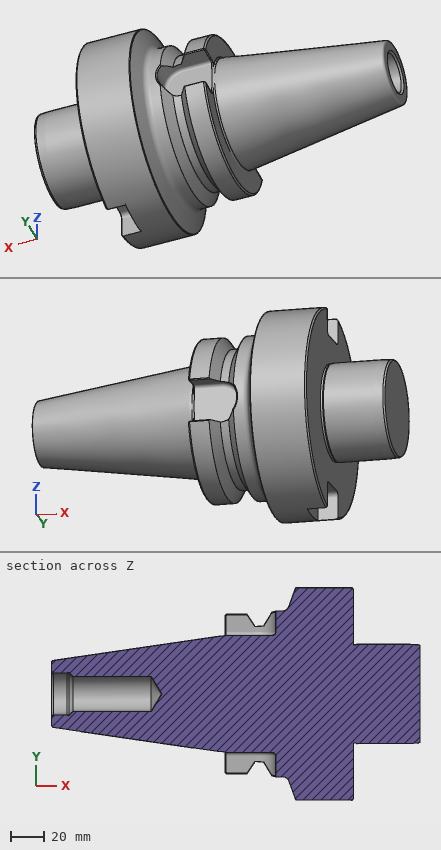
import cadquery as cq
import math


GAUGE_DIA = 69.85
TAPER_LENGTH = 101.8
TAPER_RATE = 7 / 24
TAPER_END_ROUND = 1.5
NECK_FILLET = 1.0

FLANGE_DIA = 100.0
FLANGE_FACE_X = 2.5
FLANGE_EDGE_CHAMFER = 1.0
GROOVE_CENTER_X = 23.3
GROOVE_FLOOR_DIA = 85.3
GROOVE_TOP_WIDTH = 15.4
GROOVE_FLOOR_WIDTH = 5.3

HEAD_DIA = 128.0
HEAD_FACE_X = 80.0
HEAD_BACK_X = 40.0
HEAD_BACK_ANGLE = 20.0
HEAD_BACK_FILLET = 4.0
HEAD_EDGE_CHAMFER = 1.0
HEAD_BACK_EDGE_WIDTH = 0.5

SPIGOT_DIA = 60.0
SPIGOT_LENGTH = 40.0
SPIGOT_RELIEF_DIA = 59.3
SPIGOT_RELIEF_WIDTH = 2.0
SPIGOT_RELIEF_RAMP = 0.7
SPIGOT_LEAD_DIA = 59.5
SPIGOT_LEAD_START = 7.0
SPIGOT_LEAD_END = 2.6
SPIGOT_END_CHAMFER_LENGTH = 1.2
SPIGOT_END_CHAMFER = 0.6

BORE_DIA = 25.0
BORE_MOUTH_DIA = 27.5
BORE_DEPTH = 10.7
UNDERCUT_DIA = 25.45
UNDERCUT_WIDTH = 1.2
THREAD_DIA = 21.0
THREAD_DEPTH = 60.0
BORE_CONE_ANGLE = 45.0
DRILL_POINT_ANGLE = 118.0

DRIVE_SLOT_WIDTH = 25.45
DRIVE_SLOT_FLOOR = 35.3
DRIVE_SLOT_END_X = 33.1
DRIVE_SLOT_FILLET = 2.0
DRIVE_SLOT_CHAMFER = 0.7

KEYWAY_WIDTH = 25.45
KEYWAY_DEPTH_X = 12.5
KEYWAY_FLOOR = 46.0
KEYWAY_FILLET = 3.0

TOLERANCE = 0.01
CUT_MARGIN = 10.0


def make_body():
    """Revolve the outer profile."""
    gauge_r = GAUGE_DIA / 2
    small_end_x = -TAPER_LENGTH
    small_end_r = gauge_r - TAPER_LENGTH * TAPER_RATE / 2
    flange_r = FLANGE_DIA / 2
    groove_r = GROOVE_FLOOR_DIA / 2
    head_r = HEAD_DIA / 2
    spigot_r = SPIGOT_DIA / 2
    relief_r = SPIGOT_RELIEF_DIA / 2
    lead_r = SPIGOT_LEAD_DIA / 2
    spigot_end_x = HEAD_FACE_X + SPIGOT_LENGTH
    relief_end_x = HEAD_FACE_X + SPIGOT_RELIEF_WIDTH

    back_slope = math.tan(math.radians(HEAD_BACK_ANGLE))
    turn = math.radians(90 - HEAD_BACK_ANGLE)
    tangent = HEAD_BACK_FILLET * math.tan(turn / 2)
    fillet_start = (HEAD_BACK_X - tangent, flange_r)
    fillet_mid = (
        fillet_start[0] + HEAD_BACK_FILLET * math.sin(turn / 2),
        flange_r + HEAD_BACK_FILLET * (1 - math.cos(turn / 2)),
    )
    fillet_end = (
        HEAD_BACK_X + tangent * math.cos(turn),
        flange_r + tangent * math.sin(turn),
    )
    back_edge_r = head_r - HEAD_BACK_EDGE_WIDTH
    back_edge_x = HEAD_BACK_X + (back_edge_r - flange_r) * back_slope

    taper_angle = math.atan(TAPER_RATE / 2)
    end_turn = math.pi / 2 - taper_angle
    end_tangent = TAPER_END_ROUND * math.tan(end_turn / 2)
    round_start = (small_end_x, small_end_r - end_tangent)
    round_mid = (
        small_end_x + TAPER_END_ROUND * (1 - math.cos(end_turn / 2)),
        round_start[1] + TAPER_END_ROUND * math.sin(end_turn / 2),
    )
    round_end = (
        small_end_x + end_tangent * math.cos(taper_angle),
        small_end_r + end_tangent * math.sin(taper_angle),
    )

    profile = (
        cq.Workplane("XY")
        .moveTo(small_end_x, 0)
        .lineTo(*round_start)
        .threePointArc(round_mid, round_end)
        .lineTo(0, gauge_r)
        .lineTo(FLANGE_FACE_X - NECK_FILLET, gauge_r)
        .radiusArc((FLANGE_FACE_X, gauge_r + NECK_FILLET), -NECK_FILLET)
        .lineTo(FLANGE_FACE_X, flange_r - FLANGE_EDGE_CHAMFER)
        .lineTo(FLANGE_FACE_X + FLANGE_EDGE_CHAMFER, flange_r)
        .lineTo(GROOVE_CENTER_X - GROOVE_TOP_WIDTH / 2, flange_r)
        .lineTo(GROOVE_CENTER_X - GROOVE_FLOOR_WIDTH / 2, groove_r)
        .lineTo(GROOVE_CENTER_X + GROOVE_FLOOR_WIDTH / 2, groove_r)
        .lineTo(GROOVE_CENTER_X + GROOVE_TOP_WIDTH / 2, flange_r)
        .lineTo(*fillet_start)
        .threePointArc(fillet_mid, fillet_end)
        .lineTo(back_edge_x, back_edge_r)
        .lineTo(back_edge_x + HEAD_BACK_EDGE_WIDTH, head_r)
        .lineTo(HEAD_FACE_X - HEAD_EDGE_CHAMFER, head_r)
        .lineTo(HEAD_FACE_X, head_r - HEAD_EDGE_CHAMFER)
        .lineTo(HEAD_FACE_X, relief_r)
        .lineTo(relief_end_x - SPIGOT_RELIEF_RAMP, relief_r)
        .lineTo(relief_end_x, spigot_r)
        .lineTo(spigot_end_x - SPIGOT_LEAD_START, spigot_r)
        .lineTo(spigot_end_x - SPIGOT_LEAD_END, lead_r)
        .lineTo(spigot_end_x - SPIGOT_END_CHAMFER_LENGTH, lead_r)
        .lineTo(spigot_end_x, lead_r - SPIGOT_END_CHAMFER)
        .lineTo(spigot_end_x, 0)
        .close()
    )
    return profile.revolve(360, (0, 0, 0), (1, 0, 0))


def make_drawbar_hole():
    """Chamfered bore, threaded length and drill point, opening at the small end."""
    bore_r = BORE_DIA / 2
    mouth_r = BORE_MOUTH_DIA / 2
    undercut_r = UNDERCUT_DIA / 2
    thread_r = THREAD_DIA / 2
    mouth_x = -TAPER_LENGTH
    bore_end_x = mouth_x + BORE_DEPTH
    thread_end_x = mouth_x + THREAD_DEPTH
    cone_length = (undercut_r - thread_r) / math.tan(math.radians(BORE_CONE_ANGLE))
    point_length = thread_r / math.tan(math.radians(DRILL_POINT_ANGLE / 2))
    profile = cq.Workplane("XY").polyline([
        (mouth_x, 0),
        (mouth_x, mouth_r),
        (mouth_x + mouth_r - bore_r, bore_r),
        (bore_end_x - UNDERCUT_WIDTH, bore_r),
        (bore_end_x - UNDERCUT_WIDTH, undercut_r),
        (bore_end_x, undercut_r),
        (bore_end_x + cone_length, thread_r),
        (thread_end_x, thread_r),
        (thread_end_x + point_length, 0),
    ]).close()
    return profile.revolve(360, (0, 0, 0), (1, 0, 0))


def make_drive_slot():
    """Round-ended slot cutter on the -Y side, with rounded floor edges."""
    half_width = DRIVE_SLOT_WIDTH / 2
    start_x = FLANGE_FACE_X - CUT_MARGIN
    arc_x = DRIVE_SLOT_END_X - half_width
    cutter = (
        cq.Workplane("XZ", origin=(0, -DRIVE_SLOT_FLOOR, 0))
        .moveTo(start_x, -half_width)
        .lineTo(arc_x, -half_width)
        .threePointArc((DRIVE_SLOT_END_X, 0), (arc_x, half_width))
        .lineTo(start_x, half_width)
        .close()
        .extrude(FLANGE_DIA / 2 + CUT_MARGIN - DRIVE_SLOT_FLOOR)
    )
    return cutter.faces(">Y").edges("not <X").fillet(DRIVE_SLOT_FILLET)


def make_keyway():
    """Keyway cutter on the +Z side, open to the head face, with rounded floor edges."""
    length = KEYWAY_DEPTH_X + CUT_MARGIN
    height = HEAD_DIA / 2 + CUT_MARGIN - KEYWAY_FLOOR
    cutter = (
        cq.Workplane("XY", origin=(HEAD_FACE_X - KEYWAY_DEPTH_X, 0, KEYWAY_FLOOR))
        .box(length, KEYWAY_WIDTH, height, centered=(False, True, False))
    )
    return cutter.faces("<Z").edges("|X").fillet(KEYWAY_FILLET)


def is_drive_slot_rim(edge):
    """Tell whether an edge lies where a drive slot wall meets the outside of the flange."""
    box = edge.BoundingBox()
    middle = edge.positionAt(0.5)
    half_width = DRIVE_SLOT_WIDTH / 2
    groove_start_x = GROOVE_CENTER_X - GROOVE_TOP_WIDTH / 2

    on_side_wall = box.zlen < TOLERANCE and abs(abs(middle.z) - half_width) < TOLERANCE
    if on_side_wall and box.xmax < groove_start_x + TOLERANCE:
        return True

    on_flange_rim = abs(math.hypot(middle.y, middle.z) - FLANGE_DIA / 2) < TOLERANCE
    behind_groove = box.xmin > GROOVE_CENTER_X and box.xmax < DRIVE_SLOT_END_X + TOLERANCE
    return on_flange_rim and behind_groove and box.zlen < DRIVE_SLOT_WIDTH


def chamfer_drive_slots(body):
    """Break the edges of both drive slots."""
    rim_edges = [edge for edge in body.edges().vals() if is_drive_slot_rim(edge)]
    return body.newObject(rim_edges).chamfer(DRIVE_SLOT_CHAMFER)


body = make_body().cut(make_drawbar_hole())
for angle in (0, 180):
    for cutter in (make_drive_slot(), make_keyway()):
        body = body.cut(cutter.rotate((0, 0, 0), (1, 0, 0), angle))
result = chamfer_drive_slots(body)